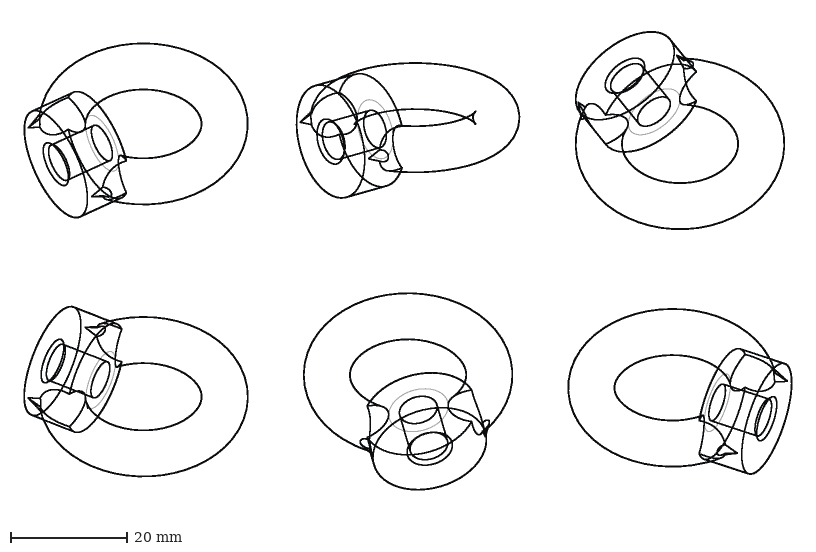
import cadquery as cq

outer_diameter = 36.0
base_diameter = 20.0
ring_opening_diameter = base_diameter
base_straight_height = 8.55
base_height = 9.45
bore_diameter = 6.65
bore_mouth_diameter = 8.0
ring_end_angle = 25.0
spur_tip_gap = 0.75
spur_tip_depth = 0.05
spur_length = 3.95
spur_base_radius = 1.7

outer_radius = outer_diameter / 2
base_radius = base_diameter / 2
opening_radius = ring_opening_diameter / 2
wire_radius = (outer_radius - opening_radius) / 2
ring_radius = opening_radius + wire_radius
seat_y = -outer_radius
crown_y = seat_y + base_height
crown_radius = (opening_radius**2 - crown_y**2) ** 0.5
bore_radius = bore_diameter / 2
bore_mouth_radius = bore_mouth_diameter / 2
bore_chamfer = bore_mouth_radius - bore_radius

y_axis = cq.Vector(0, 1, 0)


def make_ring():
    """Round-wire ring in the XY plane, open at -Y with both ends buried in the base."""
    return (
        cq.Workplane("YZ")
        .center(-ring_radius, 0)
        .circle(wire_radius)
        .revolve(360 - 2 * ring_end_angle, (ring_radius, 0), (ring_radius, 1))
        .rotate((0, 0, 0), (0, 0, 1), ring_end_angle)
    )


def make_base():
    """Round base along Y with a shallow conical crown."""
    return (
        cq.Workplane("YZ")
        .moveTo(seat_y, 0)
        .lineTo(seat_y, base_radius)
        .lineTo(seat_y + base_straight_height, base_radius)
        .lineTo(crown_y, crown_radius)
        .lineTo(crown_y, 0)
        .close()
        .revolve(360, (0, 0), (1, 0))
    )


def make_spur(side):
    """Pointed cone filling the corner between the base and the ring."""
    tip = cq.Vector(side * (base_radius - spur_tip_depth), seat_y + spur_tip_gap, 0)
    return cq.Workplane(cq.Solid.makeCone(0, spur_base_radius, spur_length, tip, y_axis))


def make_bore():
    """Bore through the base only, with a 45 degree chamfer at the seating face."""
    start = cq.Vector(0, seat_y, 0)
    shaft = cq.Solid.makeCylinder(bore_radius, base_height, start, y_axis)
    mouth = cq.Solid.makeCone(bore_mouth_radius, bore_radius, bore_chamfer, start, y_axis)
    return cq.Workplane(shaft).union(cq.Workplane(mouth))


body = make_ring().union(make_base())
for side in (-1, 1):
    body = body.union(make_spur(side))

result = body.cut(make_bore())